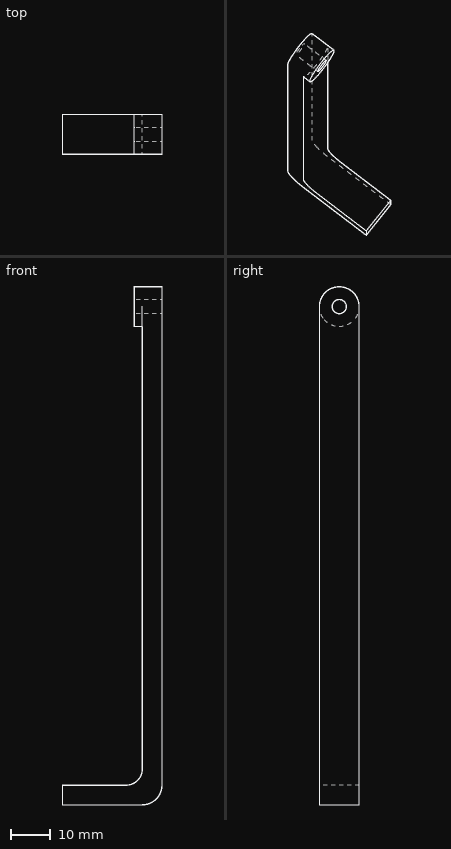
import cadquery as cq

length_x = 25.0
width = 10.0
height = 130.0

thickness = 5.0
inner_bend_radius = 4.0
outer_bend_radius = 5.0

eye_diameter = width
eye_depth = 7.0
hole_diameter = 3.5
eye_center_z = height - eye_diameter / 2


def bent_bar():
    """L-shaped bar: foot along X, upright along Z at the +X end."""
    upright_inner_x = length_x - thickness
    bar = (
        cq.Workplane("XZ")
        .polyline([
            (0, 0),
            (length_x, 0),
            (length_x, eye_center_z),
            (upright_inner_x, eye_center_z),
            (upright_inner_x, thickness),
            (0, thickness),
        ])
        .close()
        .extrude(width / 2, both=True)
    )
    inner_corner = cq.selectors.NearestToPointSelector((upright_inner_x, 0, thickness))
    outer_corner = cq.selectors.NearestToPointSelector((length_x, 0, 0))
    bar = bar.edges("|Y").edges(inner_corner).fillet(inner_bend_radius)
    return bar.edges("|Y").edges(outer_corner).fillet(outer_bend_radius)


def eye_cylinder(diameter):
    """Cylinder along X on the eye axis, ending flush with the back of the upright."""
    return (
        cq.Workplane("YZ", origin=(length_x - eye_depth, 0, eye_center_z))
        .circle(diameter / 2)
        .extrude(eye_depth)
    )


result = bent_bar().union(eye_cylinder(eye_diameter)).cut(eye_cylinder(hole_diameter))